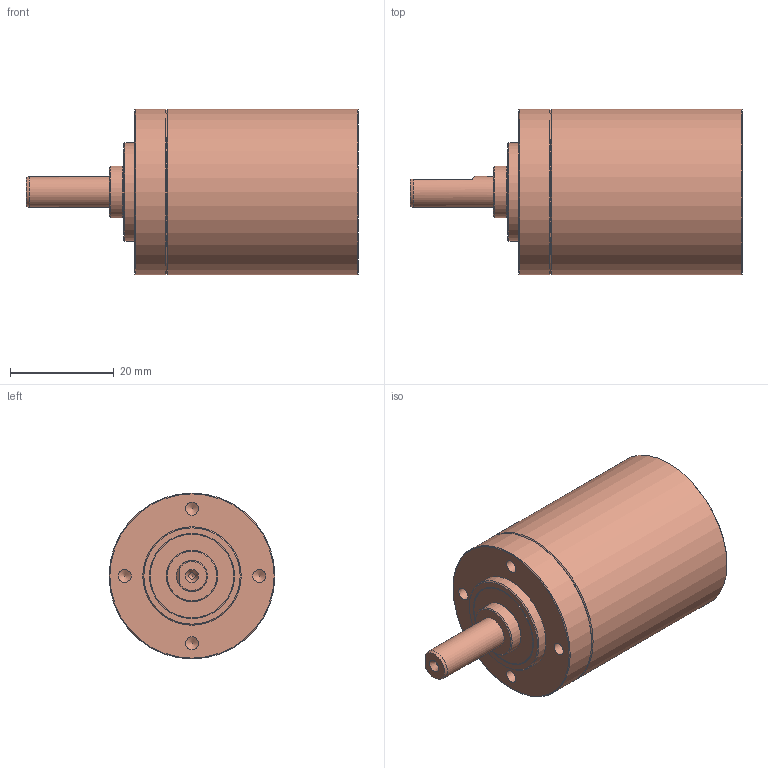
import cadquery as cq
import math


body_diameter = 32.0
body_length = 43.1
flange_thickness = 6.2
rim_chamfer = 0.15
joint_chamfer = 0.2

boss_diameter = 19.0
boss_height = 2.1
boss_chamfer = 0.2
groove_outer_diameter = 16.4
groove_width = 0.15
groove_depth = 0.1

collar_diameter = 10.0
collar_tip = 4.9
collar_chamfer = 0.2
shaft_diameter = 6.0
shaft_tip = 21.0
shaft_chamfer_length = 0.6
shaft_chamfer_depth = 0.2
flat_length = 12.0
flat_depth = 0.5

centre_mouth_diameter = 2.5
centre_pilot_diameter = 1.2
centre_cone_angle = 60.0
centre_pilot_length = 1.0

hole_diameter = 2.5
hole_depth = 5.0
hole_count = 4
hole_circle_diameter = 26.0
drill_point_angle = 118.0


def cone_length(large_diameter, small_diameter, included_angle):
    """Axial length of a cone between two diameters."""
    half_angle = math.radians(included_angle / 2)
    return (large_diameter - small_diameter) / 2 / math.tan(half_angle)


def cylinder(start, end, diameter):
    """Cylinder on the X axis from X = start to X = end."""
    return cq.Workplane("YZ", origin=(start, 0, 0)).circle(diameter / 2).extrude(end - start)


def make_housing():
    flange = cylinder(0, flange_thickness, body_diameter)
    gear_case = cylinder(flange_thickness, body_length, body_diameter)
    flange = flange.faces("<X").edges().chamfer(rim_chamfer)
    flange = flange.faces(">X").edges().chamfer(joint_chamfer)
    gear_case = gear_case.faces("<X").edges().chamfer(joint_chamfer)
    gear_case = gear_case.faces(">X").edges().chamfer(rim_chamfer)
    return flange.union(gear_case)


def make_boss():
    boss = cylinder(-boss_height, 0, boss_diameter)
    boss = boss.faces("<X").edges().chamfer(boss_chamfer)
    groove_floor = groove_depth - boss_height
    groove_core = cylinder(-boss_height, groove_floor, groove_outer_diameter - 2 * groove_width)
    groove = cylinder(-boss_height, groove_floor, groove_outer_diameter).cut(groove_core)
    return boss.cut(groove)


def make_collar():
    """Collar chamfered at both ends, standing on the face of the boss."""
    collar = cylinder(-collar_tip, -boss_height, collar_diameter)
    return collar.edges().chamfer(collar_chamfer)


def make_shaft():
    shaft = cylinder(-shaft_tip, 0, shaft_diameter)
    shaft_radius = shaft_diameter / 2
    tip_radius = shaft_radius - shaft_chamfer_depth
    chamfer_end = shaft_chamfer_length - shaft_tip
    tip = (
        cq.Workplane("XY")
        .moveTo(-shaft_tip, 0)
        .lineTo(-shaft_tip, tip_radius)
        .lineTo(chamfer_end, shaft_radius)
        .lineTo(chamfer_end, 0)
        .close()
        .revolve(360, (0, 0, 0), (1, 0, 0))
    )
    shaft = shaft.cut(cylinder(-shaft_tip, chamfer_end, shaft_diameter)).union(tip)
    return shaft.cut(make_flat_cutter())


def make_flat_cutter():
    """Removes the +Y side of the shaft, with a 45 degree run-out at the inner end."""
    flat_y = shaft_diameter / 2 - flat_depth
    flat_end = flat_length - shaft_tip
    return (
        cq.Workplane("XY", origin=(0, 0, -shaft_diameter / 2))
        .moveTo(-shaft_tip, flat_y)
        .lineTo(flat_end, flat_y)
        .lineTo(flat_end + flat_depth, flat_y + flat_depth)
        .lineTo(-shaft_tip, flat_y + flat_depth)
        .close()
        .extrude(shaft_diameter)
    )


def make_centre_drilling():
    """60 degree countersink leading into a pilot hole with a drill point."""
    cone_end = cone_length(centre_mouth_diameter, centre_pilot_diameter, centre_cone_angle) - shaft_tip
    pilot_end = cone_end + centre_pilot_length
    point_end = pilot_end + cone_length(centre_pilot_diameter, 0, drill_point_angle)
    return (
        cq.Workplane("XY")
        .moveTo(-shaft_tip, 0)
        .lineTo(-shaft_tip, centre_mouth_diameter / 2)
        .lineTo(cone_end, centre_pilot_diameter / 2)
        .lineTo(pilot_end, centre_pilot_diameter / 2)
        .lineTo(point_end, 0)
        .close()
        .revolve(360, (0, 0, 0), (1, 0, 0))
    )


def make_mounting_hole():
    """Blind hole with a drill point, on the +Y side of the hole circle."""
    centre_y = hole_circle_diameter / 2
    edge_y = centre_y + hole_diameter / 2
    point_end = hole_depth + cone_length(hole_diameter, 0, drill_point_angle)
    return (
        cq.Workplane("XY")
        .moveTo(0, centre_y)
        .lineTo(0, edge_y)
        .lineTo(hole_depth, edge_y)
        .lineTo(point_end, centre_y)
        .close()
        .revolve(360, (0, centre_y, 0), (1, centre_y, 0))
    )


result = make_housing().union(make_boss()).union(make_collar()).union(make_shaft())
result = result.cut(make_centre_drilling())
for index in range(hole_count):
    hole_angle = index * 360 / hole_count
    result = result.cut(make_mounting_hole().rotate((0, 0, 0), (1, 0, 0), hole_angle))